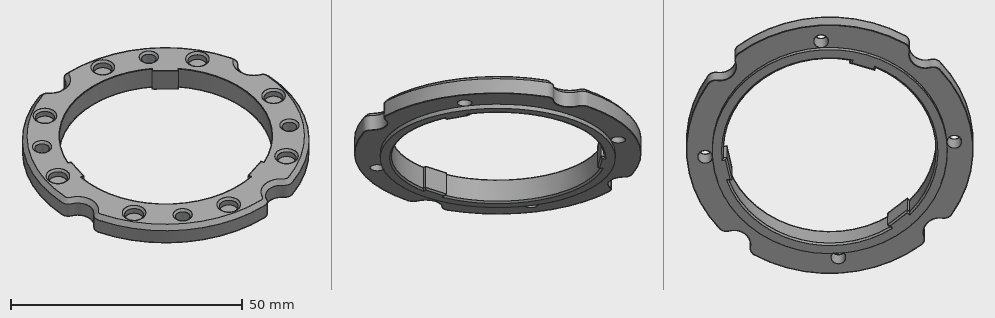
import cadquery as cq
import math

outer_radius = 31.0
bore_radius = 23.0
total_height = 5.49
top_chamfer = 1.0
lower_rim_chamfer = 0.1
bore_top_chamfer = 0.1
bore_bottom_chamfer = 0.4

spigot_diameter = 50.85
spigot_height = 1.0

key_count = 3
key_width = 5.7
key_face_distance = 22.1
key_root_overlap = 0.5

quarter_count = 4
quarter_angle = 360.0 / quarter_count
notch_angle = 82.5
notch_radius = 3.5
notch_centre_distance = 31.5
notch_blend_radius = 2.0

pitch_radius = 27.0
hole_angle = notch_angle - quarter_angle / 2
pocket_offset_angle = quarter_angle / 4
hole_diameter = 3.15
pocket_diameter = 4.1
pocket_depth = 1.8
mouth_chamfer = 0.5


def polar(radius, degrees):
    angle = math.radians(degrees)
    return (radius * math.cos(angle), radius * math.sin(angle))


def point_towards(start, end, distance):
    """Point at a given distance from start on the line to end."""
    ratio = distance / math.dist(start, end)
    return (start[0] + ratio * (end[0] - start[0]), start[1] + ratio * (end[1] - start[1]))


def rim_outline():
    """Closed outer outline: rim arcs joined by blended notches."""
    blend_distance = outer_radius - notch_blend_radius
    tangent_distance = notch_radius + notch_blend_radius
    cosine = (blend_distance**2 + notch_centre_distance**2 - tangent_distance**2) / (
        2 * blend_distance * notch_centre_distance
    )
    half_angle = math.degrees(math.acos(cosine))
    floor_radius = notch_centre_distance - notch_radius

    def blend_points(middle, side):
        """Rim end, middle and notch end of the blend arc on one side of a notch."""
        rim_angle = middle + side * half_angle
        blend_centre = polar(blend_distance, rim_angle)
        rim_point = polar(outer_radius, rim_angle)
        notch_point = point_towards(blend_centre, polar(notch_centre_distance, middle), notch_blend_radius)
        chord_middle = ((rim_point[0] + notch_point[0]) / 2, (rim_point[1] + notch_point[1]) / 2)
        return rim_point, point_towards(blend_centre, chord_middle, notch_blend_radius), notch_point

    outline = cq.Workplane("XY").workplane(offset=spigot_height)
    outline = outline.moveTo(*polar(outer_radius, notch_angle - quarter_angle + half_angle))
    for index in range(quarter_count):
        middle = notch_angle + index * quarter_angle
        rim_start, start_bulge, notch_start = blend_points(middle, -1)
        rim_end, end_bulge, notch_end = blend_points(middle, 1)
        outline = outline.threePointArc(polar(outer_radius, middle - quarter_angle / 2), rim_start)
        outline = outline.threePointArc(start_bulge, notch_start)
        outline = outline.threePointArc(polar(floor_radius, middle), notch_end)
        outline = outline.threePointArc(end_bulge, rim_end)
    return outline.close()


def ring_body():
    """Notched rim with chamfered edges, the spigot below it and the plain bore."""
    rim = rim_outline().extrude(total_height - spigot_height)
    rim = rim.faces(">Z").edges().chamfer(top_chamfer)
    rim = rim.faces("<Z").edges().chamfer(lower_rim_chamfer)
    spigot = cq.Workplane("XY").circle(spigot_diameter / 2).extrude(spigot_height)
    bore = cq.Workplane("XY").circle(bore_radius).extrude(total_height)
    return rim.union(spigot).cut(bore)


def bore_key(degrees):
    """Full-height key block, its root sunk into the bore wall."""
    depth = bore_radius + key_root_overlap - key_face_distance
    key = cq.Workplane("XY").box(depth, key_width, total_height, centered=(False, True, False))
    return key.translate((key_face_distance, 0, 0)).rotate((0, 0, 0), (0, 0, 1), degrees)


def chamfered_hole_cutter(diameter, depth, degrees):
    """Hole tool sunk from the top face, with a 45 degree chamfered mouth."""
    radius = diameter / 2
    profile = cq.Workplane("XZ").moveTo(0, total_height)
    profile = profile.lineTo(radius + mouth_chamfer, total_height)
    profile = profile.lineTo(radius, total_height - mouth_chamfer)
    profile = profile.lineTo(radius, total_height - depth)
    profile = profile.lineTo(0, total_height - depth).close()
    cutter = profile.revolve(360, (0, 0, 0), (0, 1, 0))
    return cutter.translate((*polar(pitch_radius, degrees), 0))


def chamfer_bore_mouth(body, face_selector, size):
    """Break the bore edge, keys included, on the top or bottom face."""
    bore_wire = body.faces(face_selector).val().innerWires()[0]
    return body.newObject(bore_wire.Edges()).chamfer(size)


result = ring_body()

for key_index in range(key_count):
    result = result.union(bore_key(key_index * 360.0 / key_count))

result = chamfer_bore_mouth(result, ">Z", bore_top_chamfer)
result = chamfer_bore_mouth(result, "<Z", bore_bottom_chamfer)

for quarter in range(quarter_count):
    screw_angle = hole_angle + quarter * quarter_angle
    result = result.cut(chamfered_hole_cutter(hole_diameter, total_height, screw_angle))
    for side in (-1, 1):
        pocket_angle = screw_angle + side * pocket_offset_angle
        result = result.cut(chamfered_hole_cutter(pocket_diameter, pocket_depth, pocket_angle))